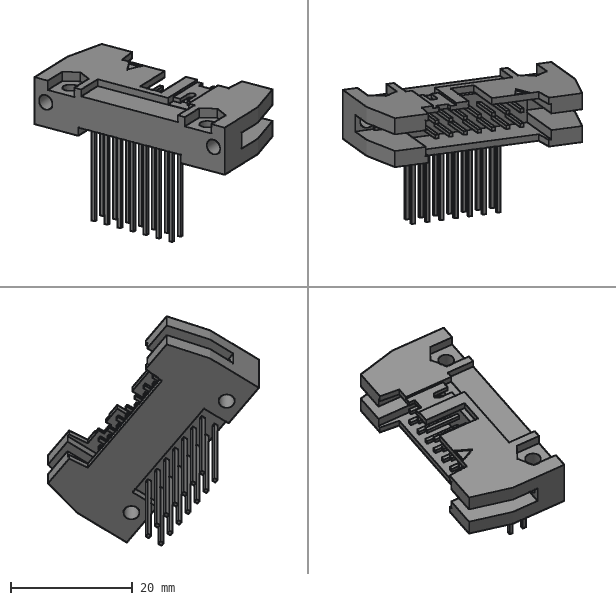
import cadquery as cq
import math

housing_length = 37.4
housing_depth = 17.3
housing_height = 8.5
shoulder_y = 9.95
arm_outer_x = 16.8
arm_inner_x = 10.8
bay_x = 10.47
bay_y = 13.8

contact_count = 7
contact_pitch = 2.55
contact_size = 0.65
tail_length = 15.0
front_row_y = 1.0
contact_tip_y = 13.5
contact_root = 0.65
first_contact_x = -(contact_count - 1) / 2 * contact_pitch

cavity_half_length = 11.25
cavity_floor_y = 7.25
wall_thickness = 1.15
cavity_height = housing_height - 2 * wall_thickness

latch_slot_height = 2.88
latch_outer_floor_y = 5.2
latch_inner_floor_y = 5.9
latch_step_x = 15.5

hole_diameter = 2.6
mount_x = 13.45
mount_y = 2.8
nut_flats = 5.2
nut_depth = 1.7
front_hole_x = 16.5
front_hole_z = 4.5

front_recess_depth = 4.97
top_recess_length = 19.05
top_recess_drop = 1.25
bottom_recess_length = 20.2
bottom_recess_rise = 1.5

key_width = 4.2
key_end_y = 6.35

channel_x = 2.5 * contact_pitch
channel_width = 4.08
channel_drop = wall_thickness
plate_drop = 0.4
plate_front_y = 6.55
clip_slot_width = 1.35
clip_slot_end_y = 9.57
plate_notch_width = 2.02
plate_notch_y = 12.7

marker_x = first_contact_x
marker_width = contact_pitch
marker_base_y = contact_tip_y
marker_tip_y = 10.92
marker_depth = 0.25

SIDES = (-1, 1)
mid_z = housing_height / 2


def block(x_range, y_range, z_range):
    """Box spanning the given (low, high) limits on each axis."""
    spans = [high - low for low, high in (x_range, y_range, z_range)]
    corner = (x_range[0], y_range[0], z_range[0])
    return cq.Workplane("XY").box(*spans, centered=False).translate(corner)


def centred(middle, width):
    """Limits of a width placed evenly about a middle position."""
    return (middle - width / 2, middle + width / 2)


def from_top(drop):
    """Limits along Z from a drop below the top face up to the top face."""
    return (housing_height - drop, housing_height)


def make_housing():
    half_outline = [
        (housing_length / 2, 0),
        (housing_length / 2, shoulder_y),
        (arm_outer_x, housing_depth),
        (arm_inner_x, housing_depth),
        (bay_x, bay_y),
    ]
    mirrored = [(-x, y) for x, y in reversed(half_outline)]
    return cq.Workplane("XY").polyline(half_outline + mirrored).close().extrude(housing_height)


def make_cavity():
    cavity = block(
        centred(0, 2 * cavity_half_length),
        (cavity_floor_y, housing_depth),
        centred(mid_z, cavity_height),
    )
    key = block(centred(0, key_width), (key_end_y, housing_depth), from_top(wall_thickness))
    return cavity.union(key)


def make_latch_slot(side):
    slot_z = centred(mid_z, latch_slot_height)
    inner_x = sorted((side * cavity_half_length, side * housing_length / 2))
    outer_x = sorted((side * latch_step_x, side * housing_length / 2))
    inner = block(inner_x, (latch_inner_floor_y, housing_depth), slot_z)
    outer = block(outer_x, (latch_outer_floor_y, housing_depth), slot_z)
    return inner.union(outer)


def make_mounting(side):
    """Vertical hole with its nut pocket, and the hole from the front face into the latch slot."""
    hole = (
        cq.Workplane("XY")
        .center(side * mount_x, mount_y)
        .circle(hole_diameter / 2)
        .extrude(housing_height)
    )
    half_width = nut_flats / 2
    shoulder = mount_y + half_width / math.sqrt(3)
    tip = mount_y + 2 * half_width / math.sqrt(3)
    pocket_outline = [
        (-half_width, 0),
        (half_width, 0),
        (half_width, shoulder),
        (0, tip),
        (-half_width, shoulder),
    ]
    nut_pocket = (
        cq.Workplane("XY", origin=(side * mount_x, 0, housing_height))
        .polyline(pocket_outline)
        .close()
        .extrude(-nut_depth)
    )
    front_hole = (
        cq.Workplane("XZ", origin=(side * front_hole_x, 0, front_hole_z))
        .circle(hole_diameter / 2)
        .extrude(-latch_outer_floor_y)
    )
    return hole.union(nut_pocket).union(front_hole)


def make_front_recesses():
    recess_y = (0, front_recess_depth)
    top = block(centred(0, top_recess_length), recess_y, from_top(top_recess_drop))
    bottom = block(centred(0, bottom_recess_length), recess_y, (0, bottom_recess_rise))
    return top.union(bottom)


def make_clip_channel():
    channel_span = centred(channel_x, channel_width)
    slot_round_y = clip_slot_end_y - clip_slot_width / 2
    upper = block(channel_span, (0, bay_y), from_top(plate_drop))
    lower = block(channel_span, (0, plate_front_y), from_top(channel_drop))
    slot = block(
        centred(channel_x, clip_slot_width), (plate_front_y, slot_round_y), from_top(channel_drop)
    )
    slot_end = (
        cq.Workplane("XY", origin=(channel_x, slot_round_y, housing_height))
        .circle(clip_slot_width / 2)
        .extrude(-channel_drop)
    )
    notch = block(
        centred(channel_x, plate_notch_width), (plate_notch_y, bay_y), from_top(wall_thickness)
    )
    return upper.union(lower).union(slot).union(slot_end).union(notch)


def make_marker():
    corners = [
        (marker_x - marker_width / 2, marker_base_y),
        (marker_x + marker_width / 2, marker_base_y),
        (marker_x, marker_tip_y),
    ]
    face = cq.Workplane("XY", origin=(0, 0, housing_height))
    return face.polyline(corners).close().extrude(-marker_depth)


def make_contact(x, row):
    """Tail and blade of one contact: row 0 is front and lower, row 1 is rear and upper."""
    x_range = centred(x, contact_size)
    tail_y = centred(front_row_y + row * contact_pitch, contact_size)
    blade_z = centred(mid_z + (row - 0.5) * contact_pitch, contact_size)
    tail = block(x_range, tail_y, (-tail_length, bottom_recess_rise + contact_root))
    blade = block(x_range, (cavity_floor_y - contact_root, contact_tip_y), blade_z)
    return tail, blade


housing = make_housing().cut(make_cavity()).cut(make_front_recesses())
housing = housing.cut(make_clip_channel()).cut(make_marker())
for side in SIDES:
    housing = housing.cut(make_latch_slot(side)).cut(make_mounting(side))

result = housing
for index in range(contact_count):
    x = first_contact_x + index * contact_pitch
    for row in range(2):
        tail, blade = make_contact(x, row)
        result = result.union(tail).union(blade)